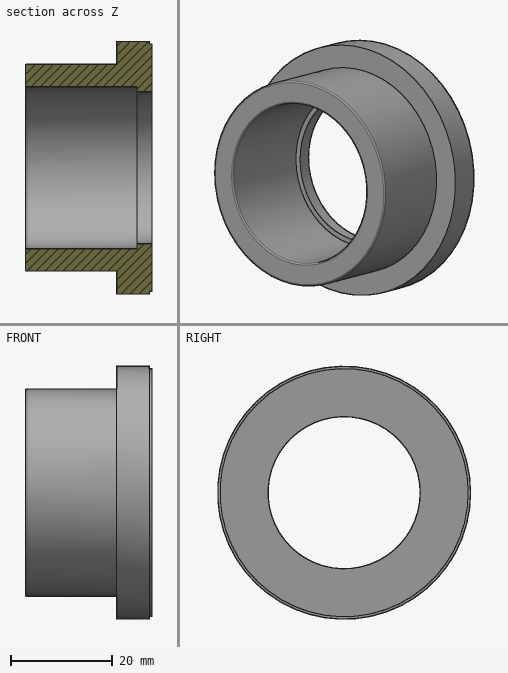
import cadquery as cq

overall_length = 25.0
spigot_diameter = 41.0
flange_diameter = 50.0
flange_thickness = 7.0
raised_face_diameter = 49.0
raised_face_height = 0.5
bore_diameter = 32.0
lip_diameter = 30.0
lip_length = 3.0
edge_radius = 0.3

spigot_end = -overall_length / 2
flange_end = overall_length / 2
flange_start = flange_end - flange_thickness
raised_face_start = flange_end - raised_face_height


def cylinder(start, end, diameter):
    """Solid cylinder along X between two X positions."""
    plane = cq.Workplane("YZ", origin=(start, 0, 0))
    return plane.circle(diameter / 2).extrude(end - start)


def make_body():
    """Spigot, flange and raised face without the bore."""
    spigot = cylinder(spigot_end, flange_start, spigot_diameter)
    flange = cylinder(flange_start, raised_face_start, flange_diameter)
    raised_face = cylinder(raised_face_start, flange_end, raised_face_diameter)
    return spigot.union(flange).union(raised_face)


def cut_bore(body):
    """Main bore from the spigot end, stopping at the lip, and the lip opening."""
    main_bore = cylinder(spigot_end, flange_end - lip_length, bore_diameter)
    lip_opening = cylinder(spigot_end, flange_end, lip_diameter)
    return body.cut(main_bore).cut(lip_opening)


def round_spigot_edges(body):
    """Round the inner and outer edges of the spigot's end face."""
    return body.faces("<X").edges().fillet(edge_radius)


result = round_spigot_edges(cut_bore(make_body()))